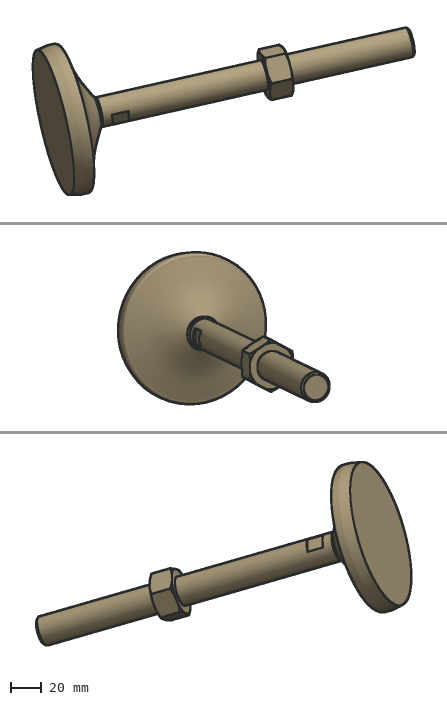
import cadquery as cq
import math

total_length = 243.0

foot_radius = 100.0 / 2
foot_floor_radius = 48.5
foot_taper_height = 7.3
foot_rim_top = 11.7
foot_shoulder_fillet = 2.2
foot_top_radius = 12.0
foot_top = 29.5
foot_top_chamfer = 0.7
flare_middle_radius = 26.5
flare_middle_height = 21.0

neck_radius = 8.7

rod_radius = 20.0 / 2
rod_start = 30.9
rod_tip_chamfer = 1.5

flats_width = 17.0
flats_start = 37.5
flats_length = 11.2

nut_across_flats = 30.0
nut_start = 143.0
nut_height = 15.8
nut_face_radius = 15.3
nut_chamfer_angle = 30.0


def cylinder_along_y(radius, start, end):
    return cq.Workplane("XZ", origin=(0, start, 0)).circle(radius).extrude(start - end)


def make_foot():
    """Revolved foot: tapered base, rim, rounded shoulder and concave flare with a broken edge."""
    shoulder_radius = foot_radius - foot_shoulder_fillet
    shoulder_top = foot_rim_top + foot_shoulder_fillet
    fillet_offset = foot_shoulder_fillet * math.sqrt(0.5)
    profile = (
        cq.Workplane("XY")
        .lineTo(foot_floor_radius, 0)
        .lineTo(foot_radius, foot_taper_height)
        .lineTo(foot_radius, foot_rim_top)
        .threePointArc(
            (shoulder_radius + fillet_offset, foot_rim_top + fillet_offset),
            (shoulder_radius, shoulder_top),
        )
        .threePointArc(
            (flare_middle_radius, flare_middle_height),
            (foot_top_radius, foot_top - foot_top_chamfer),
        )
        .lineTo(foot_top_radius - foot_top_chamfer, foot_top)
        .lineTo(0, foot_top)
        .close()
    )
    return profile.revolve(360, (0, 0, 0), (0, 1, 0))


def make_rod():
    """Rod with a chamfered tip and two wrench flats facing -X and +X."""
    rod = cylinder_along_y(rod_radius, rod_start, total_length)
    rod = rod.faces(">Y").chamfer(rod_tip_chamfer)
    flat_depth = rod_radius - flats_width / 2
    for side in (-1, 1):
        cutter = cq.Workplane("XY").box(flat_depth, flats_length, 2 * rod_radius)
        cutter_x = side * (flats_width + flat_depth) / 2
        rod = rod.cut(cutter.translate((cutter_x, flats_start + flats_length / 2, 0)))
    return rod


def make_nut():
    """Hexagon nut whose corners are cut back by a cone at both ends."""
    corner_radius = nut_across_flats / math.sqrt(3)
    nut_end = nut_start + nut_height
    hexagon = (
        cq.Workplane("XZ", origin=(0, nut_start, 0))
        .polygon(6, 2 * corner_radius)
        .extrude(-nut_height)
        .rotate((0, 0, 0), (0, 1, 0), 30)
    )
    cone_height = (corner_radius - nut_face_radius) * math.tan(math.radians(nut_chamfer_angle))
    envelope = (
        cq.Workplane("XY")
        .moveTo(0, nut_start)
        .lineTo(nut_face_radius, nut_start)
        .lineTo(corner_radius, nut_start + cone_height)
        .lineTo(corner_radius, nut_end - cone_height)
        .lineTo(nut_face_radius, nut_end)
        .lineTo(0, nut_end)
        .close()
        .revolve(360, (0, 0, 0), (0, 1, 0))
    )
    return hexagon.intersect(envelope)


neck = cylinder_along_y(neck_radius, foot_top, rod_start)
result = make_foot().union(neck).union(make_rod()).union(make_nut())